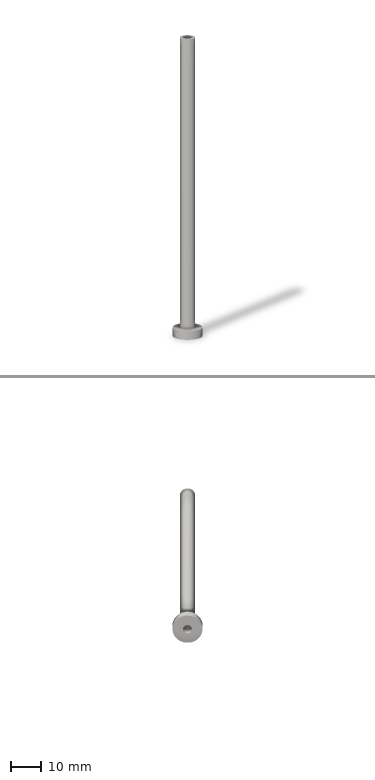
import cadquery as cq

total_length = 103.0
head_diameter = 10.0
head_thickness = 3.0
shank_diameter = 5.0
bore_diameter = 3.0
fillet_radius = 0.26

head_radius = head_diameter / 2
shank_radius = shank_diameter / 2

profile = (
    cq.Workplane("XZ")
    .moveTo(0, 0)
    .lineTo(head_radius, 0)
    .lineTo(head_radius, head_thickness)
    .lineTo(shank_radius + fillet_radius, head_thickness)
    .radiusArc((shank_radius, head_thickness + fillet_radius), fillet_radius)
    .lineTo(shank_radius, total_length)
    .lineTo(0, total_length)
    .close()
)
pin = profile.revolve(360, (0, 0, 0), (0, 1, 0))

bore = cq.Workplane("XY").circle(bore_diameter / 2).extrude(total_length)

result = pin.cut(bore)